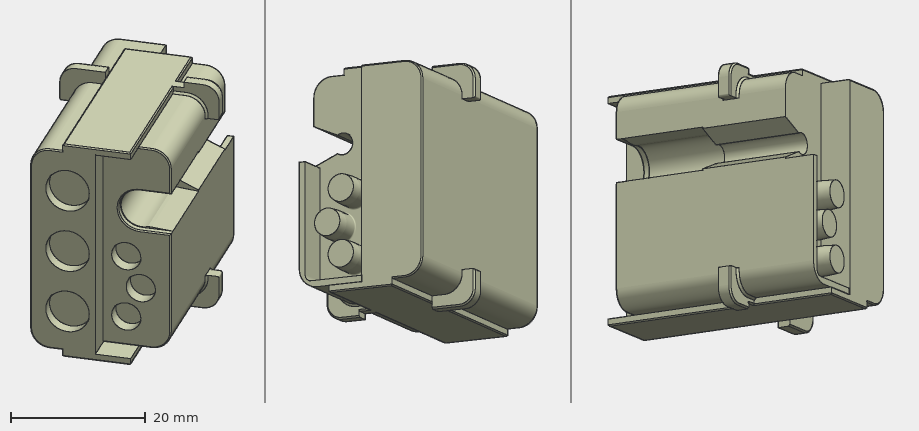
import cadquery as cq
OVERALL_X = 24.6
OVERALL_Y = 38.5
OVERALL_Z = 37.0
BODY_X = 20.5
BODY_Z = 33.0
BODY_CORNER_RADIUS = 3.0
EDGE_CHAMFER = 0.2

FRONT_Y = -OVERALL_Y / 2
BACK_Y = OVERALL_Y / 2
HALF_X = BODY_X / 2
HALF_Z = BODY_Z / 2

STEP_X = -0.2
STEP_DEPTH = 4.25
RIGHT_FRONT_Y = FRONT_Y + STEP_DEPTH
RIGHT_BACK_SETBACK = 0.15
RIGHT_BACK_Y = BACK_Y - RIGHT_BACK_SETBACK

PLATE_X = 10.5
PLATE_OUTER_Z = 17.6
TOP_PLATE_BACK_Y = 14.25

CLIP_FRONT_Y = 3.9
CLIP_BACK_Y = 5.95
CLIP_CORNER_RADIUS = 2.5
CLIP_END_Z = 13.0
CLIP_BACK_CHAMFER = 0.25
CLIP_END_FILLET = 0.3
RIGHT_CLIP_INNER_X = 6.85
CLIP_ROOT_FLARE = 0.35
CLIP_ROOT_CHAMFER = 0.34

LARGE_HOLE_DIAMETER = 6.7
LARGE_HOLE_X = -4.5
LARGE_HOLE_PITCH = 10.0
LARGE_HOLE_DEPTH = 2.0
SMALL_HOLE_DIAMETER = 4.5
SMALL_HOLE_DEPTH = 2.3
SMALL_HOLE_CENTRES = [(3.35, -1.8), (5.6, -6.8), (3.35, -11.8)]

SLOT_X = 5.45
SLOT_Z = 6.05
SLOT_DIAMETER = 3.3
SLOT_THROAT_X = 6.3
SLOT_MOUTH_HALF_HEIGHT = 3.1
RECESS_DIAMETER = 6.6
RECESS_DEPTH = 1.1
RECESS_RUN = 10.0
RECESS_MOUTH_CHAMFER = 0.2
CAVITY_DIAMETER = 6.4
CAVITY_DEPTH = 15.0
CAVITY_PINCH_X = 7.0
CAVITY_PINCH_HALF_HEIGHT = 3.05
CAVITY_SIDE_HALF_HEIGHT = 3.3

POCKET_FLOOR_Y = TOP_PLATE_BACK_Y
POCKET_WALL = 1.0
POCKET_CORNER_RADIUS = 1.0
POCKET_SIDE_WALL_TOP_Z = SLOT_Z - RECESS_DIAMETER / 2
STUB_TIP_DIAMETER = 4.2
STUB_TAPER_LENGTH = 2.0
STUB_ROOT_FILLET = 0.2


def box(x_range, y_range, z_range):
    """Axis-aligned block given by its limits on each axis."""
    (x0, x1), (y0, y1), (z0, z1) = x_range, y_range, z_range
    block = cq.Workplane("XY").box(x1 - x0, y1 - y0, z1 - z0, centered=False)
    return block.translate((x0, y0, z0))


def plane_at(y):
    """XZ work plane at a given Y; positive extrusion runs toward +Y and local Y is -Z."""
    return cq.Workplane(cq.Plane(origin=(0, y, 0), xDir=(1, 0, 0), normal=(0, 1, 0)))


def rounded_bar(width, height, radius, front_y, back_y):
    """Bar along Y with a rounded rectangular cross-section."""
    bar = plane_at(front_y).rect(width, height).extrude(back_y - front_y)
    return bar.edges("|Y").fillet(radius)


def cylinder(x, z, diameter, front_y, back_y):
    """Cylinder along Y."""
    return plane_at(front_y).center(x, -z).circle(diameter / 2).extrude(back_y - front_y)


def make_body():
    """Rounded body with the left half longer than the right half, end edges chamfered."""
    outer_z = (-OVERALL_Z, OVERALL_Z)
    left_x = (-OVERALL_X, STEP_X)
    right_x = (STEP_X, OVERALL_X)
    whole_y = (FRONT_Y, BACK_Y)

    long_bar = rounded_bar(BODY_X, BODY_Z, BODY_CORNER_RADIUS, FRONT_Y, BACK_Y)
    left = long_bar.faces("<Y or >Y").chamfer(EDGE_CHAMFER).intersect(box(left_x, whole_y, outer_z))

    short_bar = rounded_bar(BODY_X, BODY_Z, BODY_CORNER_RADIUS, RIGHT_FRONT_Y, RIGHT_BACK_Y)
    right = short_bar.faces("<Y").chamfer(EDGE_CHAMFER).intersect(box(right_x, whole_y, outer_z))
    return left.union(right)


def make_plate(back_y):
    """Top keying plate overhanging the stepped right half; its left part fills the body chamfer."""
    plate_x = (-PLATE_X / 2, PLATE_X / 2)
    plate_y = (FRONT_Y, back_y)
    plate = box(plate_x, plate_y, (HALF_Z, PLATE_OUTER_Z)).faces(">Z").chamfer(EDGE_CHAMFER)
    root = box((-PLATE_X / 2, STEP_X), plate_y, (HALF_Z - EDGE_CHAMFER, HALF_Z))
    return plate.union(root)


def make_plates():
    """Top plate stopping short of the back, bottom plate running the full length."""
    return make_plate(TOP_PLATE_BACK_Y).union(make_plate(BACK_Y).mirror("XY"))


def make_right_clip_root():
    """Thickened band that flares the right clips into the body."""
    band = rounded_bar(
        BODY_X + 2 * CLIP_ROOT_FLARE,
        BODY_Z + 2 * CLIP_ROOT_FLARE,
        BODY_CORNER_RADIUS + CLIP_ROOT_FLARE,
        CLIP_FRONT_Y - CLIP_ROOT_FLARE,
        CLIP_BACK_Y + CLIP_ROOT_FLARE,
    )
    return band.faces("<Y or >Y").chamfer(CLIP_ROOT_CHAMFER)


def make_clips():
    """Four corner clips, the right pair reaching the plates through lower bridges."""
    clip_y = (CLIP_FRONT_Y, CLIP_BACK_Y)
    root_y = (CLIP_FRONT_Y - CLIP_ROOT_FLARE, CLIP_BACK_Y + CLIP_ROOT_FLARE)
    clip_z = (CLIP_END_Z, OVERALL_Z / 2)
    ring = rounded_bar(OVERALL_X, OVERALL_Z, CLIP_CORNER_RADIUS, *clip_y)
    ring = ring.faces(">Y").chamfer(CLIP_BACK_CHAMFER)

    left = ring.intersect(box((-OVERALL_X / 2, -PLATE_X / 2), clip_y, clip_z))
    left = left.edges("|Y and <X and <Z").fillet(CLIP_END_FILLET)
    right = ring.intersect(box((RIGHT_CLIP_INNER_X, OVERALL_X / 2), clip_y, clip_z))
    right = right.edges("|Y and >X and <Z").fillet(CLIP_END_FILLET)
    bridge = box((0, RIGHT_CLIP_INNER_X), clip_y, (HALF_Z, PLATE_OUTER_Z))
    bridge = bridge.edges(">Y and >Z").chamfer(CLIP_BACK_CHAMFER)
    root = make_right_clip_root().intersect(box((0, OVERALL_X / 2), root_y, clip_z))

    top = left.union(right).union(bridge).union(root)
    core = rounded_bar(BODY_X, BODY_Z, BODY_CORNER_RADIUS, FRONT_Y, BACK_Y)
    top = top.cut(core)
    return top.union(top.mirror("XY"))


def make_contact_holes():
    """Blind holes: a column of large ones on the left, three small staggered ones on the right."""
    holes = cq.Workplane("XY")
    for row in (-1, 0, 1):
        z = row * LARGE_HOLE_PITCH
        bottom_y = FRONT_Y + LARGE_HOLE_DEPTH
        holes = holes.union(cylinder(LARGE_HOLE_X, z, LARGE_HOLE_DIAMETER, FRONT_Y, bottom_y))
    for x, z in SMALL_HOLE_CENTRES:
        bottom_y = RIGHT_FRONT_Y + SMALL_HOLE_DEPTH
        holes = holes.union(cylinder(x, z, SMALL_HOLE_DIAMETER, RIGHT_FRONT_Y, bottom_y))
    return holes


def keyhole(diameter, neck_x, neck_half_height, side_half_height, depth):
    """Round hole from the right front face, opening through a neck that flares to the right side."""
    neck = neck_x - SLOT_X
    side = HALF_X - SLOT_X
    opening_outline = [
        (0, -neck_half_height),
        (neck, -neck_half_height),
        (side, -side_half_height),
        (side, side_half_height),
        (neck, neck_half_height),
        (0, neck_half_height),
    ]
    opening = plane_at(RIGHT_FRONT_Y).center(SLOT_X, -SLOT_Z).polyline(opening_outline).close()
    opening = opening.extrude(depth)
    return opening.union(cylinder(SLOT_X, SLOT_Z, diameter, RIGHT_FRONT_Y, RIGHT_FRONT_Y + depth))


def make_earth_slot():
    """Flared through slot behind a pinched cavity and a chamfered front recess."""
    throat_half_height = ((SLOT_DIAMETER / 2) ** 2 - (SLOT_THROAT_X - SLOT_X) ** 2) ** 0.5
    length = RIGHT_BACK_Y - RIGHT_FRONT_Y
    slot = keyhole(SLOT_DIAMETER, SLOT_THROAT_X, throat_half_height, SLOT_MOUTH_HALF_HEIGHT, length)
    cavity = keyhole(
        CAVITY_DIAMETER,
        CAVITY_PINCH_X,
        CAVITY_PINCH_HALF_HEIGHT,
        CAVITY_SIDE_HALF_HEIGHT,
        CAVITY_DEPTH,
    )

    recess_plane = plane_at(RIGHT_FRONT_Y).center(SLOT_X + RECESS_RUN / 2, -SLOT_Z)
    mouth_diameter = RECESS_DIAMETER + 2 * RECESS_MOUTH_CHAMFER
    recess = recess_plane.slot2D(RECESS_RUN + RECESS_DIAMETER, RECESS_DIAMETER).extrude(RECESS_DEPTH)
    mouth = recess_plane.slot2D(RECESS_RUN + mouth_diameter, mouth_diameter)
    mouth = mouth.extrude(RECESS_MOUTH_CHAMFER, taper=45)
    return slot.union(cavity).union(recess).union(mouth)


def make_rear_pocket():
    """Pocket open at the back and top, leaving a floor and a low right wall."""
    pocket_y = (POCKET_FLOOR_Y, RIGHT_BACK_Y)
    inner = box((STEP_X, HALF_X - POCKET_WALL), pocket_y, (-HALF_Z + POCKET_WALL, HALF_Z))
    inner = inner.edges("|Y and >X and <Z").fillet(POCKET_CORNER_RADIUS)
    above_wall = box((STEP_X, HALF_X), pocket_y, (POCKET_SIDE_WALL_TOP_Z, HALF_Z))
    return inner.union(above_wall)


def make_stub(x, z):
    """Stub behind a small contact hole: filleted root, straight shank, tapered tip."""
    radius = SMALL_HOLE_DIAMETER / 2
    length = RIGHT_BACK_Y - POCKET_FLOOR_Y
    root_radius = radius + STUB_ROOT_FILLET
    profile = (
        cq.Workplane("XY")
        .lineTo(root_radius, 0)
        .radiusArc((radius, STUB_ROOT_FILLET), STUB_ROOT_FILLET)
        .lineTo(radius, length - STUB_TAPER_LENGTH)
        .lineTo(STUB_TIP_DIAMETER / 2, length)
        .lineTo(0, length)
        .close()
    )
    stub = profile.revolve(360, (0, 0, 0), (0, 1, 0))
    return stub.translate((x, POCKET_FLOOR_Y, z))


part = make_body().union(make_plates()).union(make_clips())
part = part.cut(make_contact_holes())
part = part.cut(make_earth_slot())
part = part.cut(make_rear_pocket())
for stub_x, stub_z in SMALL_HOLE_CENTRES:
    part = part.union(make_stub(stub_x, stub_z))
result = part